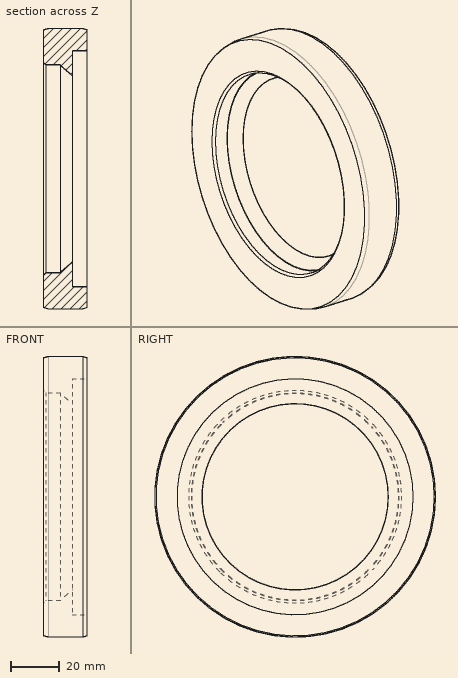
import cadquery as cq

width = 18.2
outer_radius = 58.3

edge_drop = 0.6
front_edge_length = 2.1
back_edge_length = 1.7

seat_radius = 43.2
entry_chamfer = 1.0
seat_end = 7.1
ledge_height = 0.2
lip_radius = 38.6
lip_end = 12.1
recess_radius = 49.0

edge_radius = outer_radius - edge_drop

section = [
    (0, seat_radius + entry_chamfer),
    (0, edge_radius),
    (front_edge_length, outer_radius),
    (width - back_edge_length, outer_radius),
    (width, edge_radius),
    (width, recess_radius),
    (lip_end, recess_radius),
    (lip_end, lip_radius),
    (seat_end, seat_radius - ledge_height),
    (seat_end, seat_radius),
    (entry_chamfer, seat_radius),
]

result = cq.Workplane("XY").polyline(section).close().revolve(360, (0, 0, 0), (1, 0, 0))